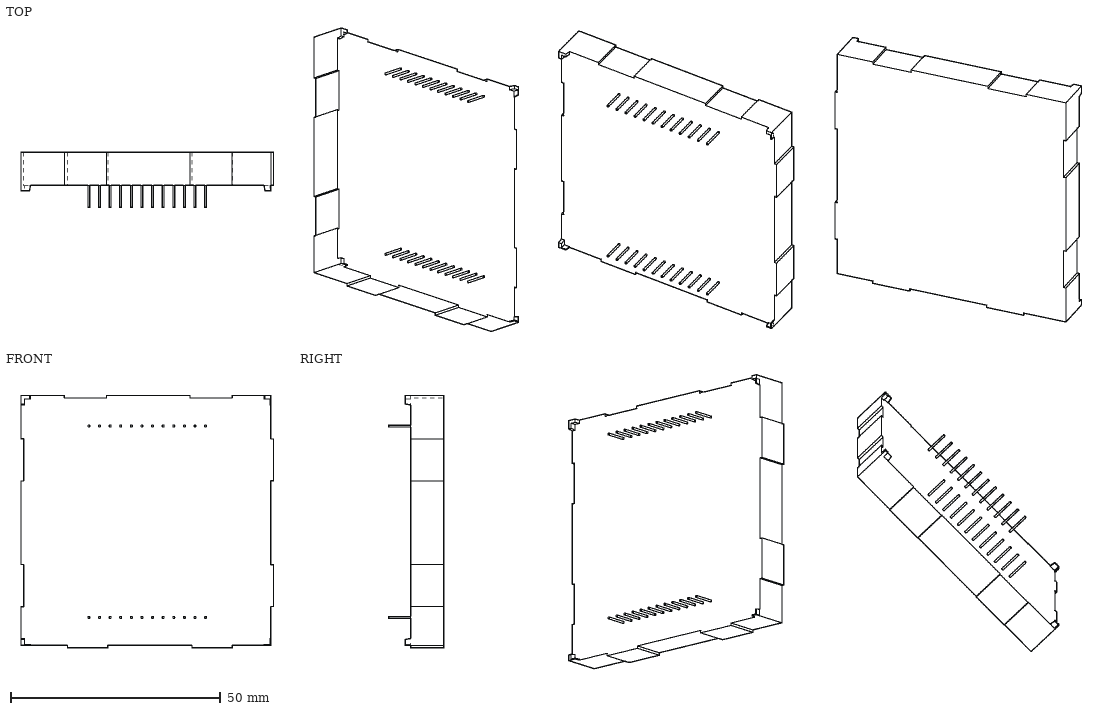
import cadquery as cq

size = 60.3
depth = 13.2
half = size / 2
front_y = depth / 2

tab_height = 0.6
body_depth = 7.95
back_y = front_y - body_depth
body_right = half - tab_height
body_bottom = tab_height - half

notch_width = 10.0
notch_pitch = 30.0
notch_start = 10.4
lower_tab_width = 9.65
lower_tab_start = 11.1
lower_tab_pitch = 29.7

foot_height = 1.3
tip_y = back_y - foot_height
foot_inner = 29.3
foot_base_end = 27.85
foot_tip_end = 28.1

pin_diameter = 0.5
pin_count = 12
pin_pitch = 2.55
row_spacing = 45.7
pin_length = depth - body_depth


def block(x_min, x_max, y_min, y_max, z_min, z_max):
    """Box between the given limits."""
    box = cq.Workplane("XY").box(x_max - x_min, y_max - y_min, z_max - z_min, centered=False)
    return box.translate((x_min, y_min, z_min))


def make_housing():
    """Square housing with two notches or two tabs on each side."""
    housing = block(-half, body_right, back_y, front_y, body_bottom, half)
    for i in range(2):
        near = notch_start + i * notch_pitch - half
        far = near + notch_width
        left_notch = block(-half, -half + tab_height, back_y, front_y, -far, -near)
        top_notch = block(near, far, back_y, front_y, half - tab_height, half)
        housing = housing.cut(left_notch).cut(top_notch)

        right_tab = block(body_right, half, back_y, front_y, -far, -near)
        tab_left = lower_tab_start + i * lower_tab_pitch - half
        lower_tab = block(tab_left, tab_left + lower_tab_width, back_y, front_y, -half, body_bottom)
        housing = housing.union(right_tab).union(lower_tab)
    return housing


def foot_gap():
    """Bar along Z whose tapered sides form the foot ends."""
    profile = [
        (-foot_base_end, back_y),
        (foot_base_end, back_y),
        (foot_tip_end, tip_y),
        (-foot_tip_end, tip_y),
    ]
    return cq.Workplane("XY").polyline(profile).close().extrude(half, both=True)


def make_feet():
    """Rim around the back face, reduced to an L at each corner."""
    rim = block(-half, body_right, tip_y, back_y, body_bottom, half)
    pocket = block(-foot_inner, foot_inner, tip_y, back_y, -foot_inner, foot_inner)
    gap_along_z = foot_gap()
    gap_along_x = gap_along_z.rotate((0, 0, 0), (0, 1, 0), 90)
    return rim.cut(pocket).cut(gap_along_z).cut(gap_along_x)


def make_pins():
    """Two rows of pins standing on the back face."""
    return (
        cq.Workplane("XZ", origin=(0, back_y, 0))
        .rarray(pin_pitch, row_spacing, pin_count, 2)
        .circle(pin_diameter / 2)
        .extrude(pin_length)
    )


result = make_housing().union(make_feet()).union(make_pins())